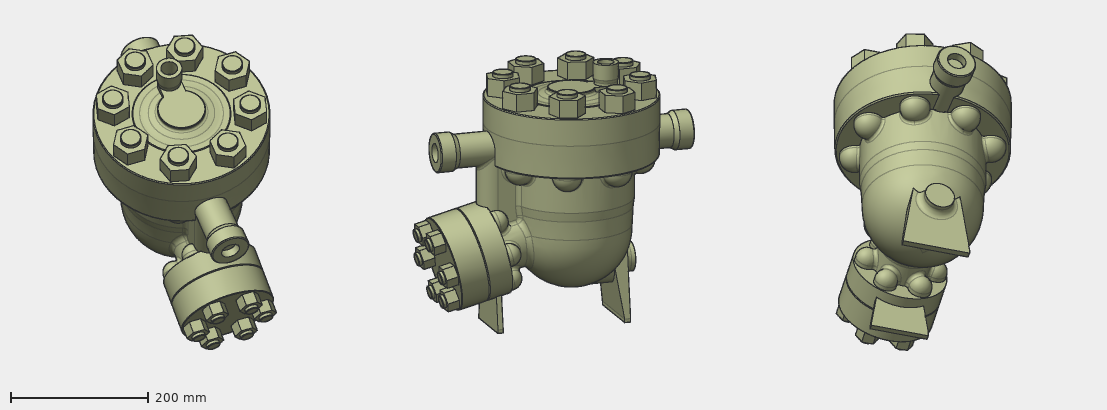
import cadquery as cq
import math

JOINT_Z = 28.0
COVER_TOP_Z = 69.0
FLANGE_BOTTOM_Z = -22.5
BAND_TOP_Z = -84.5
BAND_BOTTOM_Z = -98.5
DOME_Z = -126.5
DRAIN_Z = -184.5
FOOT_BOTTOM_Z = -269.5

COVER_R = 129.0
COVER_CHAMFER = 1.5
FLANGE_BOTTOM_R = 128.0
FLANGE_ROUND = 2.0
UPPER_BODY_R = 92.0
LOWER_BODY_R = 90.0
DOME_R = 88.5
DOME_BOTTOM_Z = -219.5

PAD_R = 72.0
PAD_HEIGHT = 1.2
HUB_FOOT_R = 61.0
HUB_FOOT_ARC_R = 56.0
HUB_SLOPE = math.radians(13)
HUB_CONE_TOP_R = 38.4
HUB_R = 35.0
HUB_TOP_Z = 81.0
HUB_EDGE_ROUND = 1.0

SOCKET_X = -52.8
SOCKET_R = 18.5
SOCKET_NECK_R = 17.0
SOCKET_TOP_Z = 113.3
SOCKET_STEP_Z = 90.0
SOCKET_NECK_Z = 85.0
SOCKET_BORE_D = 24.0
SOCKET_BORE_DEPTH = 30.0

STUD_COUNT = 8
STUD_CIRCLE_R = 100.0
STUD_D = 30.0
STUD_TOP_Z = 101.7
STUD_CHAMFER = 1.0
NUT_ACROSS_FLATS = 46.0
NUT_TOP_Z = 95.5
BOSS_R = 22.0
BOSS_SHOULDER_Z = -26.5
BOSS_BLEND_R = 4.0

LEFT_END_X = -180.0
RIGHT_END_X = 210.0
NOZZLE_R = 25.0
NOZZLE_END_R = 29.0
NOZZLE_END_LENGTH = 23.0
NOZZLE_TAPER_LENGTH = 7.5
NOZZLE_END_CHAMFER = 1.5
NOZZLE_BORE_D = 27.7
NOZZLE_BORE_DEPTH = 13.0
NOZZLE_BLEND_R = 6.0

PASSAGE_R = 24.0
PASSAGE_EDGE_X = 145.3
PASSAGE_BLEND_R = 8.0
PASSAGE_CENTRE_X = PASSAGE_EDGE_X - PASSAGE_R

PORT_TILT = 13.5
PORT_FACE_X = 198.0
PORT_FACE_Z = -169.5
PORT_R = 71.0
PORT_CHAMFER = 1.0
PORT_COVER_THICKNESS = 43.0
PORT_GAP = 2.0
PORT_GASKET_R = 50.0
PORT_FLANGE_BACK = 80.3
PORT_NECK_R = 41.5
PORT_NECK_LENGTH = 190.0
NECK_BLEND_R = 10.0
PORT_STUD_COUNT = 6
PORT_STUD_CIRCLE_R = 52.0
PORT_STUD_D = 20.0
PORT_STUD_HEIGHT = 23.4
PORT_NUT_ACROSS_FLATS = 30.0
PORT_NUT_HEIGHT = 18.0
PORT_BOSS_R = 17.0
PORT_BOSS_SHOULDER = 6.5
PORT_BOSS_BLEND_R = 5.0

SEAM_TOLERANCE = 0.1

LEFT_FOOT_WIDTH = 100.0
RIGHT_FOOT_WIDTH = 86.0
FOOT_SIDE_SLOPE = 0.147
FOOT_TOP_Z = -161.5
FOOT_EDGE_HEIGHT = 5.5
LEFT_FOOT_X = -74.0
LEFT_FOOT_THICKNESS = 9.3
LEFT_FOOT_TOP_THICKNESS = 24.5
RIGHT_FOOT_X = 119.7
RIGHT_FOOT_THICKNESS = 8.2
DRAIN_END_X = -91.6
DRAIN_SHOULDER_X = -85.0
DRAIN_R = 22.0
DRAIN_FLARE_R = 31.5
DRAIN_SLEEVE_R = 35.0


def round_bar(radius, start, length, direction):
    return cq.Workplane(cq.Solid.makeCylinder(radius, length, cq.Vector(*start), cq.Vector(*direction)))


def stud_points(count, circle_r, first_angle):
    angles = [math.radians(first_angle + i * 360 / count) for i in range(count)]
    return [(circle_r * math.cos(a), circle_r * math.sin(a)) for a in angles]


def blend_seams(solid, low, high, radius):
    """Round the freeform seams, where curved surfaces meet, whose middle lies between two corners."""
    return solid.edges("%BSPLINE").edges(BoxSelector(low, high)).fillet(radius)


BoxSelector = cq.selectors.BoxSelector

COVER_STUDS = stud_points(STUD_COUNT, STUD_CIRCLE_R, 180 / STUD_COUNT)
PORT_STUDS = stud_points(PORT_STUD_COUNT, PORT_STUD_CIRCLE_R, 180 / PORT_STUD_COUNT)
PORT_BACK_Z = PORT_FACE_Z + PORT_FLANGE_BACK * math.sin(math.radians(PORT_TILT))


def make_boss(radius, base_z, shoulder_z):
    """Cylinder hanging from base_z with a half-ball end below shoulder_z."""
    return (
        cq.Workplane("XZ")
        .moveTo(0, base_z)
        .lineTo(radius, base_z)
        .lineTo(radius, shoulder_z)
        .radiusArc((0, shoulder_z - radius), radius)
        .close()
        .revolve(360, (0, 0, 0), (0, 1, 0))
    )


def make_vessel():
    """Plain revolved vessel with its flange and rounded bottom."""
    dome_height = DOME_Z - DOME_BOTTOM_Z
    ball_r = (dome_height**2 + DOME_R**2) / (2 * dome_height)
    return (
        cq.Workplane("XZ")
        .moveTo(0, JOINT_Z)
        .lineTo(COVER_R, JOINT_Z)
        .lineTo(FLANGE_BOTTOM_R, FLANGE_BOTTOM_Z + FLANGE_ROUND)
        .lineTo(FLANGE_BOTTOM_R - FLANGE_ROUND, FLANGE_BOTTOM_Z)
        .lineTo(UPPER_BODY_R, FLANGE_BOTTOM_Z)
        .lineTo(UPPER_BODY_R, BAND_TOP_Z)
        .lineTo(LOWER_BODY_R, BAND_BOTTOM_Z)
        .lineTo(DOME_R, DOME_Z)
        .radiusArc((0, DOME_BOTTOM_Z), ball_r)
        .close()
        .revolve(360, (0, 0, 0), (0, 1, 0))
        .rotate((0, 0, 0), (0, 0, 1), 180)
    )


def make_cover():
    arc_rise = HUB_FOOT_ARC_R * (1 - math.cos(HUB_SLOPE))
    arc_run = HUB_FOOT_ARC_R * math.sin(HUB_SLOPE)
    pad_z = COVER_TOP_Z + PAD_HEIGHT
    cone_foot_r = HUB_FOOT_R - arc_run
    cone_foot_z = pad_z + arc_rise
    cone_top_z = cone_foot_z + (cone_foot_r - HUB_CONE_TOP_R) * math.tan(HUB_SLOPE)
    return (
        cq.Workplane("XZ")
        .moveTo(0, JOINT_Z)
        .lineTo(COVER_R, JOINT_Z)
        .lineTo(COVER_R, COVER_TOP_Z - COVER_CHAMFER)
        .lineTo(COVER_R - COVER_CHAMFER, COVER_TOP_Z)
        .lineTo(PAD_R, COVER_TOP_Z)
        .lineTo(PAD_R - PAD_HEIGHT, pad_z)
        .lineTo(HUB_FOOT_R, pad_z)
        .radiusArc((cone_foot_r, cone_foot_z), HUB_FOOT_ARC_R)
        .lineTo(HUB_CONE_TOP_R, cone_top_z)
        .radiusArc((HUB_R, cone_top_z + HUB_CONE_TOP_R - HUB_R), HUB_CONE_TOP_R - HUB_R)
        .lineTo(HUB_R, HUB_TOP_Z - HUB_EDGE_ROUND)
        .lineTo(HUB_R - HUB_EDGE_ROUND, HUB_TOP_Z)
        .lineTo(0, HUB_TOP_Z)
        .close()
        .revolve(360, (0, 0, 0), (0, 1, 0))
    )


def make_cover_stud(x, y, turn):
    hex_d = NUT_ACROSS_FLATS / math.cos(math.pi / 6)
    nut = cq.Workplane("XY").polygon(6, hex_d).extrude(NUT_TOP_Z - COVER_TOP_Z)
    stud = (
        cq.Workplane("XY")
        .circle(STUD_D / 2)
        .extrude(STUD_TOP_Z - COVER_TOP_Z)
        .faces(">Z")
        .chamfer(STUD_CHAMFER)
    )
    return nut.union(stud).rotate((0, 0, 0), (0, 0, 1), turn).translate((x, y, COVER_TOP_Z))


def make_socket():
    """Bored socket boss, joined to the hub of the cover by a web."""
    neck_height = HUB_TOP_Z - COVER_TOP_Z
    web = cq.Workplane("XY", origin=(SOCKET_X / 2, 0, COVER_TOP_Z))
    web = web.rect(-SOCKET_X, 2 * SOCKET_NECK_R).extrude(neck_height)
    socket = (
        cq.Workplane("XZ")
        .moveTo(0, COVER_TOP_Z)
        .lineTo(SOCKET_NECK_R, COVER_TOP_Z)
        .lineTo(SOCKET_NECK_R, SOCKET_NECK_Z)
        .lineTo(SOCKET_R, SOCKET_STEP_Z)
        .lineTo(SOCKET_R, SOCKET_TOP_Z)
        .lineTo(0, SOCKET_TOP_Z)
        .close()
        .revolve(360, (0, 0, 0), (0, 1, 0))
        .faces(">Z")
        .workplane()
        .hole(SOCKET_BORE_D, SOCKET_BORE_DEPTH)
    )
    return socket.translate((SOCKET_X, 0, 0)).union(web)


def make_nozzle(end_x):
    """Nozzle from inside the body flange out to end_x, without its bore."""
    side = math.copysign(1, end_x)
    collar_x = end_x - side * NOZZLE_END_LENGTH
    return (
        cq.Workplane("XZ")
        .moveTo(side * UPPER_BODY_R, 0)
        .lineTo(side * UPPER_BODY_R, NOZZLE_R)
        .lineTo(collar_x - side * NOZZLE_TAPER_LENGTH, NOZZLE_R)
        .lineTo(collar_x, NOZZLE_END_R)
        .lineTo(end_x - side * NOZZLE_END_CHAMFER, NOZZLE_END_R)
        .lineTo(end_x, NOZZLE_END_R - NOZZLE_END_CHAMFER)
        .lineTo(end_x, 0)
        .close()
        .revolve(360, (0, 0, 0), (1, 0, 0))
    )


def make_nozzle_bore(end_x):
    side = math.copysign(1, end_x)
    return round_bar(NOZZLE_BORE_D / 2, (end_x, 0, 0), NOZZLE_BORE_DEPTH, (-side, 0, 0))


def make_passage():
    height = -PORT_BACK_Z
    web = cq.Workplane("XY", origin=(PASSAGE_CENTRE_X / 2, 0, PORT_BACK_Z))
    web = web.rect(PASSAGE_CENTRE_X, 2 * PASSAGE_R)
    rounded_end = cq.Workplane("XY", origin=(PASSAGE_CENTRE_X, 0, PORT_BACK_Z)).circle(PASSAGE_R)
    return web.extrude(height).union(rounded_end.extrude(height))


def place_port(local):
    """Move a shape from the port frame (Z out along the port axis, zero at the face) into place."""
    return local.rotate((0, 0, 0), (0, 1, 0), 90 + PORT_TILT).translate((PORT_FACE_X, 0, PORT_FACE_Z))


def make_port_neck():
    neck = cq.Workplane("XY", origin=(0, 0, -PORT_NECK_LENGTH)).circle(PORT_NECK_R)
    return neck.extrude(PORT_NECK_LENGTH - PORT_FLANGE_BACK)


def make_port_flange():
    """Neck and inner flange, with a blended boss behind each stud."""
    joint = -PORT_COVER_THICKNESS - PORT_GAP
    flange = cq.Workplane("XY", origin=(0, 0, -PORT_FLANGE_BACK)).circle(PORT_R)
    port = make_port_neck().union(flange.extrude(joint + PORT_FLANGE_BACK))
    boss = make_boss(PORT_BOSS_R, joint, -PORT_FLANGE_BACK - PORT_BOSS_SHOULDER)
    for x, y in PORT_STUDS:
        port = port.union(boss.translate((x, y, 0)))
    low = (-PORT_R, -PORT_R, -PORT_NECK_LENGTH)
    return blend_seams(port, low, (PORT_R, PORT_R, -PORT_FLANGE_BACK), PORT_BOSS_BLEND_R)


def make_port_cover():
    """Outer port flange with its gasket, nuts and studs."""
    cover = cq.Workplane("XY").circle(PORT_R).extrude(-PORT_COVER_THICKNESS)
    cover = cover.faces(">Z").chamfer(PORT_CHAMFER)
    gasket = cq.Workplane("XY", origin=(0, 0, -PORT_COVER_THICKNESS)).circle(PORT_GASKET_R)
    cover = cover.union(gasket.extrude(-PORT_GAP))
    hex_d = PORT_NUT_ACROSS_FLATS / math.cos(math.pi / 6)
    for x, y in PORT_STUDS:
        nut = cq.Workplane("XY", origin=(x, y, 0)).transformed((0, 0, 90)).polygon(6, hex_d)
        stud = cq.Workplane("XY", origin=(x, y, 0)).circle(PORT_STUD_D / 2).extrude(PORT_STUD_HEIGHT)
        stud = stud.faces(">Z").chamfer(STUD_CHAMFER)
        cover = cover.union(nut.extrude(PORT_NUT_HEIGHT)).union(stud)
    return cover


def make_foot_plate(bottom_width, top_z, outer_x, thickness):
    """Trapezoid plate with a short upright edge at the bottom."""
    half = bottom_width / 2
    edge_z = FOOT_BOTTOM_Z + FOOT_EDGE_HEIGHT
    top_half = half - FOOT_SIDE_SLOPE * (top_z - edge_z)
    points = [(half, FOOT_BOTTOM_Z), (half, edge_z), (top_half, top_z)]
    mirrored = [(-y, z) for y, z in reversed(points)]
    plate = cq.Workplane("YZ", origin=(outer_x, 0, 0)).polyline(points + mirrored).close()
    return plate.extrude(thickness)


def make_right_foot():
    return make_foot_plate(RIGHT_FOOT_WIDTH, PORT_BACK_Z, RIGHT_FOOT_X, RIGHT_FOOT_THICKNESS)


def make_left_foot():
    """Trapezoid plate whose inner face leans in towards the body."""
    plate = make_foot_plate(LEFT_FOOT_WIDTH, FOOT_TOP_Z, LEFT_FOOT_X, LEFT_FOOT_TOP_THICKNESS)
    side = (
        cq.Workplane("XZ")
        .moveTo(LEFT_FOOT_X, FOOT_BOTTOM_Z)
        .lineTo(LEFT_FOOT_X + LEFT_FOOT_THICKNESS, FOOT_BOTTOM_Z)
        .lineTo(LEFT_FOOT_X + LEFT_FOOT_THICKNESS, FOOT_BOTTOM_Z + FOOT_EDGE_HEIGHT)
        .lineTo(LEFT_FOOT_X + LEFT_FOOT_TOP_THICKNESS, FOOT_TOP_Z)
        .lineTo(LEFT_FOOT_X, FOOT_TOP_Z)
        .close()
        .extrude(LEFT_FOOT_WIDTH / 2, both=True)
    )
    return plate.intersect(side)


def make_drain():
    """Drain boss with a flared root on the left foot and a sleeve running on into the body."""
    return (
        cq.Workplane("XZ", origin=(0, 0, DRAIN_Z))
        .moveTo(DRAIN_END_X, 0)
        .lineTo(DRAIN_END_X, DRAIN_R)
        .lineTo(DRAIN_SHOULDER_X, DRAIN_R)
        .radiusArc((LEFT_FOOT_X, DRAIN_FLARE_R), -(LEFT_FOOT_X - DRAIN_SHOULDER_X))
        .lineTo(LEFT_FOOT_X, DRAIN_SLEEVE_R)
        .lineTo(0, DRAIN_SLEEVE_R)
        .lineTo(0, 0)
        .close()
        .revolve(360, (0, 0, 0), (1, 0, 0))
    )


def make_branched_vessel():
    """Vessel with the port neck and the passage blended into its wall."""
    vessel = make_vessel().union(place_port(make_port_neck()))
    neck_low = (0, -PORT_NECK_R, DOME_BOTTOM_Z)
    neck_high = (LOWER_BODY_R, PORT_NECK_R, BAND_BOTTOM_Z)
    vessel = blend_seams(vessel, neck_low, neck_high, NECK_BLEND_R)
    vessel = vessel.union(make_passage())
    seams = []
    for side_y in (-PASSAGE_R, PASSAGE_R):
        low = (0, side_y - SEAM_TOLERANCE, PORT_BACK_Z + SEAM_TOLERANCE)
        high = (UPPER_BODY_R, side_y + SEAM_TOLERANCE, FLANGE_BOTTOM_Z - SEAM_TOLERANCE)
        seams += vessel.edges(BoxSelector(low, high)).vals()
    return vessel.newObject(seams).fillet(PASSAGE_BLEND_R)


def make_casting():
    """Branched vessel with the bosses under its flange and both nozzles."""
    casting = make_branched_vessel()
    boss = make_boss(BOSS_R, FLANGE_BOTTOM_Z + FLANGE_ROUND, BOSS_SHOULDER_Z)
    for x, y in COVER_STUDS:
        casting = casting.union(boss.translate((x, y, 0)))
    boss_low = (-COVER_R, -COVER_R, BOSS_SHOULDER_Z - BOSS_R)
    boss_high = (COVER_R, COVER_R, BOSS_SHOULDER_Z)
    casting = blend_seams(casting, boss_low, boss_high, BOSS_BLEND_R)
    casting = casting.union(make_nozzle(LEFT_END_X)).union(make_nozzle(RIGHT_END_X))
    nozzle_low = (COVER_R, -NOZZLE_R, -NOZZLE_R)
    nozzle_high = (PASSAGE_EDGE_X, NOZZLE_R, -NOZZLE_R / 2)
    return blend_seams(casting, nozzle_low, nozzle_high, NOZZLE_BLEND_R)


def build():
    part = make_casting().union(place_port(make_port_flange())).union(place_port(make_port_cover()))
    part = part.union(make_left_foot()).union(make_drain()).union(make_right_foot())
    part = part.union(make_cover()).union(make_socket())
    for i, (x, y) in enumerate(COVER_STUDS):
        part = part.union(make_cover_stud(x, y, i * 360 / STUD_COUNT))
    for end_x in (LEFT_END_X, RIGHT_END_X):
        part = part.cut(make_nozzle_bore(end_x))
    return part


result = build()